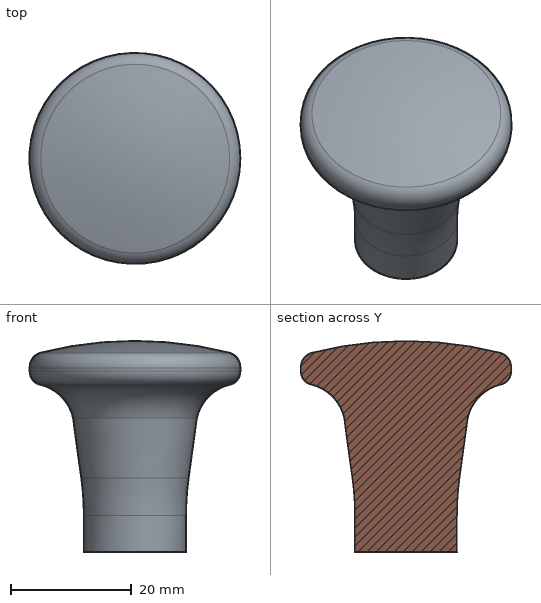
import cadquery as cq
import math

height = 35.0
head_radius = 17.5

stem_radius = 8.5
foot_height = 6.12
stem_top = (10.3, 22.25)
blend_tangent_length = 3.1

flare_mid = (12.25, 25.8)
flare_top = (15.65, 27.7)

band_bottom = 30.0
band_top = 30.52

dome_edge = (15.65, 33.05)


def rim_arc_middle(band_height, arc_end):
    """Middle of the arc that leaves the band vertically and reaches arc_end."""
    inset = head_radius - arc_end[0]
    rise = arc_end[1] - band_height
    arc_radius = (inset**2 + rise**2) / (2 * inset)
    half_angle = math.atan2(rise, arc_radius - inset) / 2
    return (
        head_radius - arc_radius * (1 - math.cos(half_angle)),
        band_height + arc_radius * math.sin(half_angle),
    )


def dome_middle():
    """Point on the dome halfway out, for a sphere centred on the knob axis."""
    edge_radius, edge_height = dome_edge
    dome_rise = height - edge_height
    sphere_radius = (edge_radius**2 + dome_rise**2) / (2 * dome_rise)
    middle_radius = edge_radius / 2
    drop = sphere_radius - math.sqrt(sphere_radius**2 - middle_radius**2)
    return (middle_radius, height - drop)


corner_height = foot_height + blend_tangent_length
taper_angle = math.atan2(stem_top[0] - stem_radius, stem_top[1] - corner_height)
blend_end = (
    stem_radius + blend_tangent_length * math.sin(taper_angle),
    corner_height + blend_tangent_length * math.cos(taper_angle),
)

profile = (
    cq.Workplane("XZ")
    .lineTo(stem_radius, 0)
    .lineTo(stem_radius, foot_height)
    .tangentArcPoint(blend_end, relative=False)
    .lineTo(*stem_top)
    .threePointArc(flare_mid, flare_top)
    .threePointArc(rim_arc_middle(band_bottom, flare_top), (head_radius, band_bottom))
    .lineTo(head_radius, band_top)
    .threePointArc(rim_arc_middle(band_top, dome_edge), dome_edge)
    .threePointArc(dome_middle(), (0, height))
    .close()
)

result = profile.revolve(360, (0, 0, 0), (0, 1, 0))